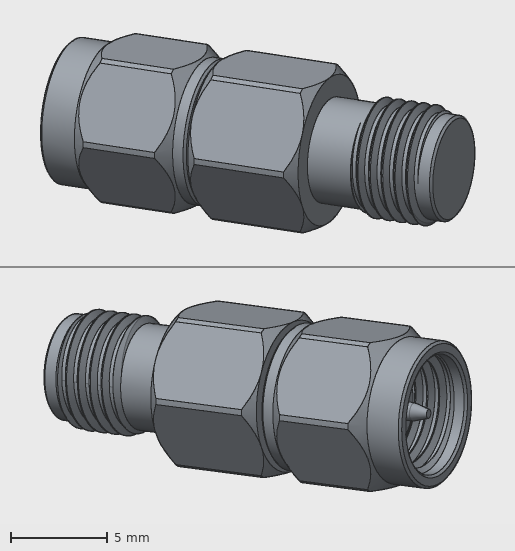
import cadquery as cq
import math


length = 21.85
nut_hex_start = 1.99
nut_hex_end = 7.58
nut_end = 8.3
body_hex_start = 8.5
body_hex_end = 14.76
outer_thread_start = 17.2
outer_thread_end = 21.05

across_flats = 7.95
corner_radius = 4.5
flat_radius = across_flats / 2
nut_front_bevel = 0.79
nut_rear_bevel = 0.75
body_bevel = 0.6

collar_radius = 3.87
collar_chamfer = 0.13
neck_radius = 3.2
shaft_radius = 2.8
shaft_chamfer = 0.13

thread_major_radius = 3.17
thread_minor_radius = shaft_radius
thread_depth = thread_major_radius - thread_minor_radius
four_pitches = 2.82
pitch = four_pitches / 4
crest_width = 0.07
flank_angle = 30.0
ridge_overlap = 0.07
crest_clearance = 0.05
outer_crest_x = 17.6
inner_crest_x = -0.17

bore_depth = 3.39
mouth_chamfer = 0.13
lead_in_start = 0.72

insulator_face = 2.53
insulator_radius = 2.18
insulator_chamfer = 0.13
pin_pocket_radius = 0.61
pin_pocket_depth = 0.22
pin_radius = 0.48
pin_tip_radius = 0.25
pin_tip_x = 0.48
pin_taper_length = 0.87


def turned(points):
    """Solid of revolution about X from (x, radius) points, closed along the axis."""
    first_x = points[0][0]
    last_x = points[-1][0]
    outline = [(first_x, 0)] + points + [(last_x, 0)]
    return cq.Workplane("XY").polyline(outline).close().revolve(360, (0, 0, 0), (1, 0, 0))


def cylinder(start, end, radius):
    return turned([(start, radius), (end, radius)])


def hex_section(start, end, front, rear):
    """Hexagonal prism with both ends bevelled; front and rear are (bevel length, end radius)."""
    prism = (
        cq.Workplane("YZ", origin=(start, 0, 0))
        .polygon(6, across_flats / math.cos(math.radians(30)))
        .extrude(end - start)
    )
    envelope = turned([
        (start, front[1]),
        (start + front[0], corner_radius),
        (end - rear[0], corner_radius),
        (end, rear[1]),
    ])
    return prism.intersect(envelope)


def thread_ridge(crest_x, turns, base_radius, crest_radius):
    """Right-handed ridge whose crest crosses the +Z side at crest_x."""
    outward = math.copysign(1, crest_radius - base_radius)
    buried_radius = base_radius - outward * ridge_overlap
    half_crest = crest_width / 2
    half_base = half_crest + abs(crest_radius - buried_radius) * math.tan(math.radians(flank_angle))
    helix = cq.Wire.makeHelix(pitch, pitch * turns, base_radius)
    ridge = (
        cq.Workplane("XZ")
        .polyline([
            (buried_radius, -half_base),
            (crest_radius, -half_crest),
            (crest_radius, half_crest),
            (buried_radius, half_base),
        ])
        .close()
        .sweep(cq.Workplane(helix), isFrenet=True)
    )
    return (
        ridge.rotate((0, 0, 0), (0, 0, 1), 180)
        .rotate((0, 0, 0), (0, 1, 0), 90)
        .translate((crest_x, 0, 0))
    )


def outer_thread():
    """Jack thread, ending in 45 degree bevels down to the shaft."""
    peak = thread_depth + crest_clearance
    envelope = turned([
        (outer_thread_start, thread_minor_radius),
        (outer_thread_start + peak, thread_minor_radius + peak),
        (outer_thread_end - peak, thread_minor_radius + peak),
        (outer_thread_end, thread_minor_radius),
    ]).cut(cylinder(outer_thread_start, outer_thread_end, thread_minor_radius - ridge_overlap / 2))
    turns = math.ceil((outer_thread_end - outer_thread_start) / pitch) + 2
    ridge = thread_ridge(outer_crest_x - pitch, turns, thread_minor_radius, thread_major_radius)
    return ridge.intersect(envelope)


def inner_thread():
    """Nut thread, opening towards the mouth in a 45 degree lead-in."""
    peak = thread_depth + crest_clearance
    envelope = cylinder(lead_in_start, bore_depth, collar_radius).cut(
        turned([
            (lead_in_start, thread_major_radius),
            (lead_in_start + peak, thread_major_radius - peak),
            (bore_depth, thread_major_radius - peak),
        ])
    )
    turns = math.ceil(bore_depth / pitch) + 1
    ridge = thread_ridge(inner_crest_x, turns, thread_major_radius, thread_minor_radius)
    return ridge.intersect(envelope)


def nut():
    sleeve = turned([
        (0, collar_radius - collar_chamfer),
        (collar_chamfer, collar_radius),
        (nut_end - collar_chamfer, collar_radius),
        (nut_end, collar_radius - collar_chamfer),
    ])
    hexagon = hex_section(
        nut_hex_start, nut_hex_end, (nut_front_bevel, collar_radius), (nut_rear_bevel, collar_radius)
    )
    bore = turned([
        (0, thread_major_radius + mouth_chamfer),
        (mouth_chamfer, thread_major_radius),
        (bore_depth, thread_major_radius),
    ])
    return sleeve.union(hexagon).cut(bore)


def jack_body():
    neck = cylinder(nut_end, body_hex_start, neck_radius)
    hexagon = hex_section(
        body_hex_start, body_hex_end, (body_bevel, flat_radius), (body_bevel, flat_radius)
    )
    shaft = turned([
        (body_hex_end, shaft_radius),
        (length - shaft_chamfer, shaft_radius),
        (length, shaft_radius - shaft_chamfer),
    ])
    return neck.union(hexagon).union(shaft)


def insulator_and_pin():
    insulator = turned([
        (insulator_face, insulator_radius - insulator_chamfer),
        (insulator_face + insulator_chamfer, insulator_radius),
        (bore_depth, insulator_radius),
    ])
    pocket = cylinder(insulator_face, insulator_face + pin_pocket_depth, pin_pocket_radius)
    pin = turned([
        (pin_tip_x, pin_tip_radius),
        (pin_tip_x + pin_taper_length, pin_radius),
        (bore_depth, pin_radius),
    ])
    return insulator.cut(pocket).union(pin)


result = (
    nut()
    .union(jack_body())
    .union(insulator_and_pin())
    .union(inner_thread())
    .union(outer_thread())
)